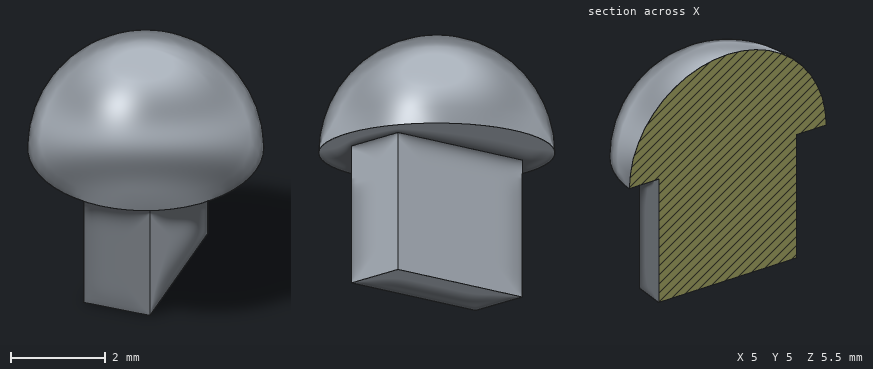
import cadquery as cq

total_height = 5.5
stem_height = 3.0
stem_thickness = 1.5
stem_width = 3.5

head_radius = total_height - stem_height


def make_head():
    """Solid hemisphere with its flat face on the XY plane."""
    profile = (
        cq.Workplane("XZ")
        .lineTo(head_radius, 0)
        .radiusArc((0, head_radius), -head_radius)
        .close()
    )
    return profile.revolve(360, (0, 0, 0), (0, 1, 0))


def make_stem():
    """Rectangular stem hanging centrally below the head."""
    return cq.Workplane("XY").rect(stem_thickness, stem_width).extrude(-stem_height)


result = make_head().union(make_stem())